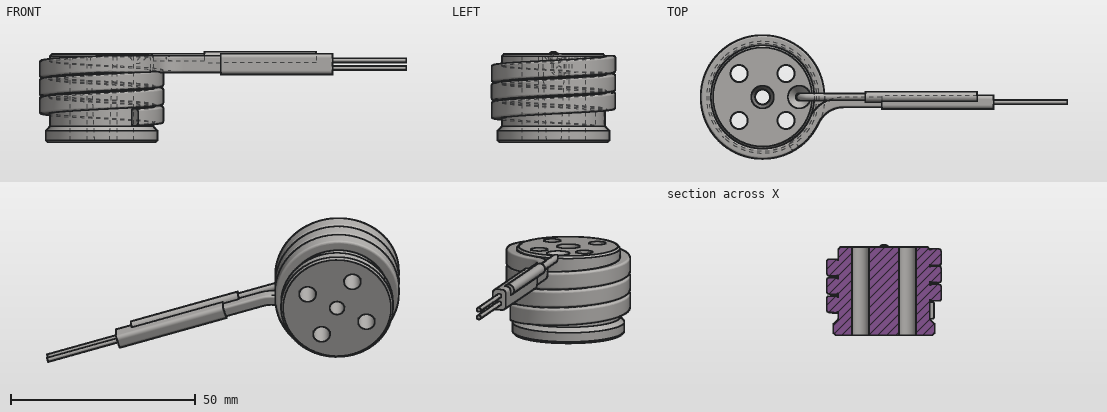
import cadquery as cq
import math

total_length = 99.3
total_height = 24.5

core_radius = 14.0
core_height = 23.9
flange_radius = 15.2
flange_height = 3.7
neck_z = 4.4
edge_chamfer = 0.6

mount_hole_radius = 2.3
mount_hole_offset = 6.4
center_hole_top_radius = 3.1
center_hole_bottom_radius = 2.0

coil_radius = 16.8
strip_width = 2.9
strip_height = 4.6
strip_round = 0.6
strip_z = 21.1
coil_pitch = 5.0
coil_start_angle = -54.0
coil_end_angle = -90.0
coil_full_turns = 3
lead_y = -1.4
lead_straight_x = 21.8

heater_sleeve_start = 32.3
heater_sleeve_length = 30.3
heater_sleeve_width = 3.8
heater_sleeve_height = 5.7
heater_sleeve_round = 1.1
heater_wire_radius = 0.6
heater_wire_spacing = 2.1

probe_x = 9.9
probe_radius = 1.0
probe_bend_radius = 3.0
probe_depth = 7.9
cone_radius = 3.1
cone_depth = 2.5
probe_sleeve_start = 27.8
probe_sleeve_length = 30.3
probe_sleeve_radius = 1.5

coil_center_radius = coil_radius - strip_width / 2
coil_turns = coil_full_turns + (coil_end_angle - coil_start_angle) / 360
coil_rise = coil_turns * coil_pitch
wire_end_x = total_length - coil_radius
probe_z = total_height - probe_sleeve_radius


def rod(x_start, x_end, y, z, radius):
    """Round bar along +X."""
    return cq.Workplane("YZ", origin=(x_start, y, z)).circle(radius).extrude(x_end - x_start)


def strip_section(workplane):
    """Rounded rectangle of the heater strip, drawn on the given workplane."""
    return workplane.sketch().rect(strip_width, strip_height).vertices().fillet(strip_round).finalize()


def make_core():
    """Flanged cylinder with chamfered rims and a conical step from the flange to the neck."""
    outline = (
        cq.Workplane("XZ")
        .lineTo(flange_radius - edge_chamfer, 0)
        .lineTo(flange_radius, edge_chamfer)
        .lineTo(flange_radius, flange_height - edge_chamfer)
        .lineTo(flange_radius - edge_chamfer, flange_height)
        .lineTo(core_radius, neck_z)
        .lineTo(core_radius, core_height - edge_chamfer)
        .lineTo(core_radius - edge_chamfer, core_height)
        .lineTo(0, core_height)
        .close()
    )
    return outline.revolve(360, (0, 0), (0, 1))


def cone_down(x, top_radius, bottom_radius, depth):
    """Cone narrowing downwards from the top of the core."""
    top_point = cq.Vector(x, 0, core_height)
    cone = cq.Solid.makeCone(top_radius, bottom_radius, depth, pnt=top_point, dir=cq.Vector(0, 0, -1))
    return cq.Workplane(cone)


def cut_holes(core):
    """Mounting holes, tapered centre hole, conical probe hole and the groove that lets the probe out."""
    top = core.faces(">Z").workplane(origin=(0, 0, core_height))
    mount_pitch = 2 * mount_hole_offset
    core = top.rect(mount_pitch, mount_pitch, forConstruction=True).vertices().hole(2 * mount_hole_radius)
    taper = cone_down(0, center_hole_top_radius, center_hole_bottom_radius, core_height)
    cone = cone_down(probe_x, cone_radius, probe_radius, cone_depth)
    groove = cq.Workplane("XY", origin=(probe_x, 0, probe_z)).box(
        core_radius, 2 * probe_radius, core_height, centered=(False, True, False)
    )
    return core.cut(taper).cut(cone).cut(groove)


def make_coil():
    """Heater strip wound upwards around the core."""
    helix = cq.Wire.makeHelix(coil_pitch, coil_rise, coil_center_radius)
    section = strip_section(cq.Workplane("XZ", origin=(coil_center_radius, 0, 0)))
    coil = section.sweep(cq.Workplane(helix), isFrenet=True)
    return coil.rotate((0, 0, 0), (0, 0, 1), coil_start_angle).translate((0, 0, strip_z - coil_rise))


def make_lead():
    """Level run from the coil's top end through an S-bend to the straight lead along +X."""
    squared_gap = lead_straight_x**2 + lead_y**2 - coil_center_radius**2
    bend_radius = squared_gap / (2 * (coil_center_radius + lead_y))
    bend_y = lead_y - bend_radius
    tangent_angle = math.atan2(bend_y, lead_straight_x)
    tangent = (coil_center_radius * math.cos(tangent_angle), coil_center_radius * math.sin(tangent_angle))
    path = (
        cq.Workplane("XY", origin=(0, 0, strip_z))
        .moveTo(0, -coil_center_radius)
        .radiusArc(tangent, -coil_center_radius)
        .radiusArc((lead_straight_x, lead_y), bend_radius)
        .lineTo(heater_sleeve_start, lead_y)
    )
    section = strip_section(cq.Workplane("YZ", origin=(0, -coil_center_radius, strip_z)))
    return section.sweep(path)


def make_heater_end():
    """Sleeve over the end of the strip and the two wires leaving it."""
    sleeve_end = heater_sleeve_start + heater_sleeve_length
    sleeve = cq.Workplane("YZ", origin=(heater_sleeve_start, lead_y, strip_z))
    sleeve = sleeve.rect(heater_sleeve_width, heater_sleeve_height).extrude(heater_sleeve_length)
    end = sleeve.edges("|X").fillet(heater_sleeve_round)
    for side in (-1, 1):
        wire_z = strip_z + side * heater_wire_spacing / 2
        end = end.union(rod(sleeve_end, wire_end_x, lead_y, wire_z, heater_wire_radius))
    return end


def make_probe():
    """Thermocouple wire with its bend and its round sleeve."""
    path = (
        cq.Workplane("XZ")
        .moveTo(probe_x, core_height - probe_depth)
        .lineTo(probe_x, probe_z - probe_bend_radius)
        .radiusArc((probe_x + probe_bend_radius, probe_z), probe_bend_radius)
        .lineTo(probe_sleeve_start, probe_z)
    )
    start = cq.Workplane("XY", origin=(probe_x, 0, core_height - probe_depth))
    wire = start.circle(probe_radius).sweep(path)
    sleeve_end = probe_sleeve_start + probe_sleeve_length
    return wire.union(rod(probe_sleeve_start, sleeve_end, 0, probe_z, probe_sleeve_radius))


result = cut_holes(make_core())
for piece in (make_coil(), make_lead(), make_heater_end(), make_probe()):
    result = result.union(piece)